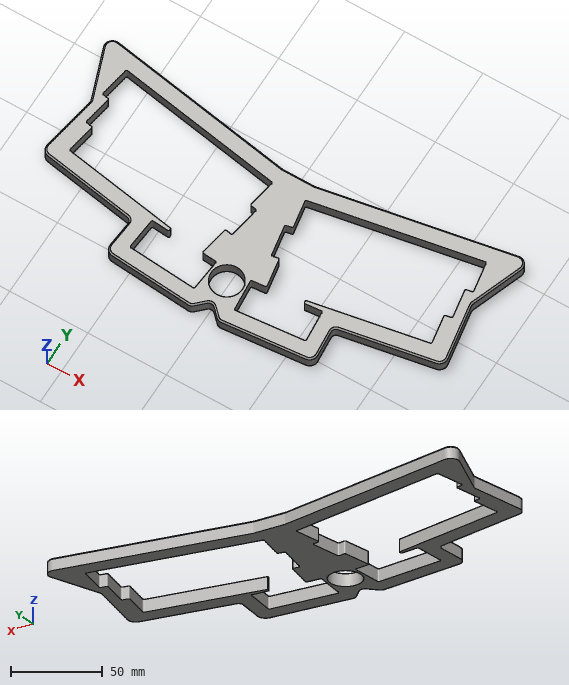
import cadquery as cq
import math

WIDTH = 267.28
DEPTH = 119.58
THICKNESS = 7.8
TOP_CHAMFER = 1.0

MAIN_TILT = 10.0
THUMB_TILT = 5.0
KEY_PITCH = 19.05
ROW_STAGGER = KEY_PITCH / 4

CORNER_RADIUS = 5.0
MAIN_LEFT_U = -123.42
MAIN_FRONT_V = -41.7
FLANK_ANGLE = 70.2
WAIST_RADIUS = 4.0
THUMB_LEFT_U = -61.65
THUMB_FRONT_V = -60.47
STEP_RADIUS = 3.0
BACK_MIDDLE_Y = 39.0

NOTCH_Y = -52.7
NOTCH_ANGLE = 44.5
NOTCH_TOP_RADIUS = 3.25
NOTCH_MOUTH_RADIUS = 4.0

KEYS_LEFT_U = -121.4
KEYS_RIGHT_U = -15.3
KEYS_BACK_V = 26.4
ROW_1_V = 6.5
ROW_2_V = ROW_1_V - KEY_PITCH
KEYS_FRONT_V = ROW_2_V - KEY_PITCH
RIGHT_STEP_V = 7.9
OPENING_RADIUS = 0.8

THUMB_KEYS_LEFT_U = -52.0
THUMB_KEYS_RIGHT_U = -8.4
THUMB_KEYS_BACK_V = -30.2
THUMB_KEYS_FRONT_V = -50.7
TONGUE_END_X = -43.0

HOLE_DIAMETER = 20.0
HOLE_Y = -36.5


def u_line(tilt, u):
    """Line of constant u in a block turned by tilt, as (normal angle, distance)."""
    return (-tilt, u)


def v_line(tilt, v):
    """Line of constant v in a block turned by tilt, as (normal angle, distance)."""
    return (90 - tilt, v)


def line_through(point, direction):
    """Line through a point at a direction angle, as (normal angle, distance)."""
    normal = math.radians(direction + 90)
    return (direction + 90, point[0] * math.cos(normal) + point[1] * math.sin(normal))


def meet(line_a, line_b):
    """Point where two lines cross."""
    a, b = math.radians(line_a[0]), math.radians(line_b[0])
    det = math.sin(b - a)
    x = (line_a[1] * math.sin(b) - line_b[1] * math.sin(a)) / det
    y = (line_b[1] * math.cos(a) - line_a[1] * math.cos(b)) / det
    return (x, y)


def mirrored(corners):
    """Corners reflected about X = 0, in reverse order."""
    return [((-x, y), radius) for (x, y), radius in reversed(corners)]


def rounded_prism(corners):
    """Plate-thick prism over a polygon of (point, corner radius) pairs."""
    prism = cq.Workplane("XY").polyline([point for point, _ in corners]).close().extrude(THICKNESS)
    for (x, y), radius in corners:
        if radius > 0:
            corner_edge = cq.selectors.NearestToPointSelector((x, y, THICKNESS / 2))
            prism = prism.edges("|Z").edges(corner_edge).fillet(radius)
    return prism


def outer_corners():
    """Left half of the outer outline, from the middle of the back to the notch apex on X = 0."""
    tip_center = (-WIDTH / 2 + CORNER_RADIUS, DEPTH / 2 - CORNER_RADIUS)
    back_normal = math.radians(90 - MAIN_TILT)
    back_v = (tip_center[0] * math.cos(back_normal) + tip_center[1] * math.sin(back_normal)
              + CORNER_RADIUS)
    back = v_line(MAIN_TILT, back_v)
    back_middle = (90, BACK_MIDDLE_Y)
    flank_normal, flank_center_distance = line_through(tip_center, -FLANK_ANGLE)
    flank = (flank_normal, flank_center_distance - CORNER_RADIUS)
    left = u_line(MAIN_TILT, MAIN_LEFT_U)
    front = v_line(MAIN_TILT, MAIN_FRONT_V)
    thumb_left = u_line(THUMB_TILT, THUMB_LEFT_U)
    thumb_front = v_line(THUMB_TILT, THUMB_FRONT_V)
    apex_rise = NOTCH_TOP_RADIUS * (1 / math.cos(math.radians(NOTCH_ANGLE)) - 1)
    notch_apex = (0, NOTCH_Y + apex_rise)
    notch_side = line_through(notch_apex, NOTCH_ANGLE)
    return [
        (meet(back_middle, back), 0),
        (meet(back, flank), CORNER_RADIUS),
        (meet(flank, left), WAIST_RADIUS),
        (meet(left, front), CORNER_RADIUS),
        (meet(front, thumb_left), STEP_RADIUS),
        (meet(thumb_left, thumb_front), CORNER_RADIUS),
        (meet(thumb_front, notch_side), NOTCH_MOUTH_RADIUS),
        (notch_apex, NOTCH_TOP_RADIUS),
    ]


def opening_corners():
    """Left opening: the stepped main key area joined to the thumb key area."""
    back = v_line(MAIN_TILT, KEYS_BACK_V)
    row_1 = v_line(MAIN_TILT, ROW_1_V)
    row_2 = v_line(MAIN_TILT, ROW_2_V)
    front = v_line(MAIN_TILT, KEYS_FRONT_V)
    left_1, left_2, left_3 = [u_line(MAIN_TILT, KEYS_LEFT_U + i * ROW_STAGGER) for i in range(3)]
    right = u_line(MAIN_TILT, KEYS_RIGHT_U)
    right_recess = u_line(MAIN_TILT, KEYS_RIGHT_U + ROW_STAGGER)
    right_step = v_line(MAIN_TILT, RIGHT_STEP_V)
    thumb_left = u_line(THUMB_TILT, THUMB_KEYS_LEFT_U)
    thumb_right = u_line(THUMB_TILT, THUMB_KEYS_RIGHT_U)
    thumb_back = v_line(THUMB_TILT, THUMB_KEYS_BACK_V)
    thumb_front = v_line(THUMB_TILT, THUMB_KEYS_FRONT_V)
    tongue_end = (0, TONGUE_END_X)
    tongue_tip = (front, tongue_end)
    crossings = [
        (back, left_1), (left_1, row_1), (row_1, left_2), (left_2, row_2), (row_2, left_3),
        (left_3, front), tongue_tip, (tongue_end, thumb_back), (thumb_back, thumb_left),
        (thumb_left, thumb_front), (thumb_front, thumb_right), (thumb_right, thumb_back),
        (thumb_back, right), (right, row_2), (row_2, right_recess), (right_recess, right_step),
        (right_step, right), (right, back),
    ]
    corners = []
    for crossing in crossings:
        radius = 0 if crossing == tongue_tip else OPENING_RADIUS
        corners.append((meet(*crossing), radius))
    return corners


left_outline = outer_corners()
plate = rounded_prism(left_outline + mirrored(left_outline[:-1]))
plate = plate.faces(">Z").edges().chamfer(TOP_CHAMFER)

left_opening = rounded_prism(opening_corners())
hole = cq.Workplane("XY").center(0, HOLE_Y).circle(HOLE_DIAMETER / 2).extrude(THICKNESS)
result = plate.cut(left_opening).cut(left_opening.mirror("YZ")).cut(hole)